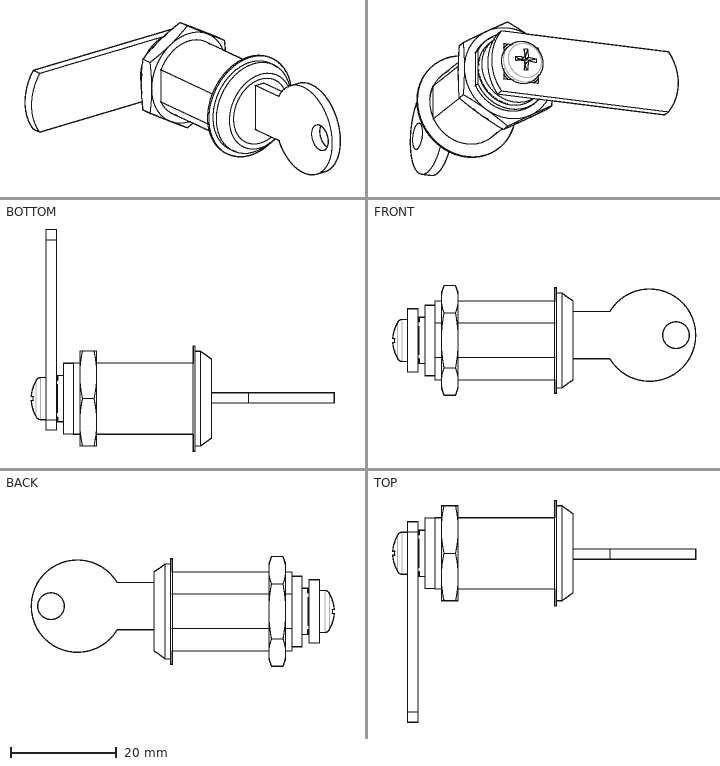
import cadquery as cq
import math


BODY_DIAMETER = 15.0
BODY_LENGTH = 23.0
BODY_ACROSS_FLATS = 13.5
BORE_DIAMETER = 13.0
FLANGE_DIAMETER = 18.0
FLANGE_FACE_DIAMETER = 15.0
FLANGE_RIM_LENGTH = 1.0
FLANGE_LENGTH = 3.1

WASHER_DIAMETER = 20.0
WASHER_THICKNESS = 0.4

NUT_ACROSS_FLATS = 18.0
NUT_ACROSS_CORNERS = NUT_ACROSS_FLATS / math.cos(math.pi / 6)
NUT_THICKNESS = 3.2
NUT_BACK_X = -21.8
NUT_CHAMFER_DEGREES = 20.0

SHOULDER_DIAMETER = 13.4
SHOULDER_LENGTH = 1.9
NECK_DIAMETER = 8.8
NECK_LENGTH = 1.1
TENON_SIDE = 7.0
CAM_CLEARANCE = 0.2

CAM_THICKNESS = 2.0
CAM_WIDTH = 12.0
CAM_NEAR_Y = 6.0
CAM_TIP_Y = -32.0
CAM_END_RADIUS = 10.0

HEAD_DIAMETER = 8.0
HEAD_RIM_LENGTH = 1.0
HEAD_HEIGHT = 2.82
DOME_EDGE_RADIUS = 3.37
DOME_HEIGHT = 0.93
SHANK_DIAMETER = 4.0
SHANK_LENGTH = 6.0
CROSS_LENGTH = 4.8
CROSS_FLOOR_LENGTH = 2.5
CROSS_WIDTH = 0.7
CROSS_DEPTH = 1.3
CROSS_CENTRE_DIAMETER = 1.1
CROSS_POINT_DEPTH = 0.5

KEY_THICKNESS = 2.0
KEY_CENTRE_Y = -0.15
KEY_CENTRE_Z = 1.0
BLADE_HEIGHT = 9.0
BLADE_INSERTION = FLANGE_LENGTH
KEY_HEAD_DIAMETER = 17.5
KEY_HOLE_DIAMETER = 5.0
KEY_HOLE_OFFSET = 5.0

DOME_TO_KEY_LENGTH = 57.34

BODY_BACK_X = -BODY_LENGTH
SHOULDER_BACK_X = BODY_BACK_X - SHOULDER_LENGTH
NECK_BACK_X = SHOULDER_BACK_X - NECK_LENGTH
CAM_FRONT_X = NECK_BACK_X - CAM_CLEARANCE
CAM_BACK_X = CAM_FRONT_X - CAM_THICKNESS
HEAD_TIP_X = CAM_BACK_X - HEAD_HEIGHT
KEY_END_X = HEAD_TIP_X + DOME_TO_KEY_LENGTH
KEY_HEAD_X = KEY_END_X - KEY_HEAD_DIAMETER / 2


def rod(diameter, start_x, end_x):
    """Cylinder on the lock axis between two X stations."""
    return cq.Workplane("YZ", origin=(start_x, 0, 0)).circle(diameter / 2).extrude(end_x - start_x)


def revolve_on_axis(profile):
    """Solid turned about X from a closed profile of (x, radius) points in the XY plane."""
    return profile.close().revolve(360, (0, 0, 0), (1, 0, 0))


def flatted_body():
    """Round body with two flats facing +Y and -Y."""
    flats = cq.Workplane("XY").box(
        BODY_LENGTH, BODY_ACROSS_FLATS, BODY_DIAMETER, centered=(False, True, True)
    ).translate((BODY_BACK_X, 0, 0))
    return rod(BODY_DIAMETER, BODY_BACK_X, 0).intersect(flats)


def make_housing():
    """Flatted body with a bevelled flange, bored through for the plug."""
    flange = revolve_on_axis(
        cq.Workplane("XY")
        .moveTo(0, 0)
        .lineTo(0, FLANGE_DIAMETER / 2)
        .lineTo(FLANGE_RIM_LENGTH, FLANGE_DIAMETER / 2)
        .lineTo(FLANGE_LENGTH, FLANGE_FACE_DIAMETER / 2)
        .lineTo(FLANGE_LENGTH, 0)
    )
    bore = rod(BORE_DIAMETER, BODY_BACK_X, FLANGE_LENGTH)
    return flatted_body().union(flange).cut(bore)


def make_washer():
    """Washer with a round hole that leaves a gap beside the flats of the body."""
    washer = rod(WASHER_DIAMETER, -WASHER_THICKNESS, 0)
    return washer.cut(rod(BODY_DIAMETER, -WASHER_THICKNESS, 0))


def make_nut():
    """Nut whose bore follows the housing body, flats included."""
    hexagon = (
        cq.Workplane("YZ", origin=(NUT_BACK_X, 0, 0))
        .transformed(rotate=(0, 0, 90))
        .polygon(6, NUT_ACROSS_CORNERS)
        .extrude(NUT_THICKNESS)
    )
    face_radius = NUT_ACROSS_FLATS / 2
    front_x = NUT_BACK_X + NUT_THICKNESS
    chamfer_rise = NUT_THICKNESS / 2 / math.tan(math.radians(NUT_CHAMFER_DEGREES))
    chamfer_envelope = revolve_on_axis(
        cq.Workplane("XY")
        .moveTo(NUT_BACK_X, 0)
        .lineTo(NUT_BACK_X, face_radius)
        .lineTo(NUT_BACK_X + NUT_THICKNESS / 2, face_radius + chamfer_rise)
        .lineTo(front_x, face_radius)
        .lineTo(front_x, 0)
    )
    return hexagon.intersect(chamfer_envelope).cut(flatted_body())


def tenon_block(start_x, end_x):
    """Square block on the lock axis between two X stations."""
    return cq.Workplane("YZ", origin=(start_x, 0, 0)).rect(TENON_SIDE, TENON_SIDE).extrude(end_x - start_x)


def make_plug(screw, key):
    """Plug in the housing bore, with a shoulder, a neck and a tenon whose corners follow the neck."""
    core = rod(BORE_DIAMETER, BODY_BACK_X, FLANGE_LENGTH)
    shoulder = rod(SHOULDER_DIAMETER, SHOULDER_BACK_X, BODY_BACK_X)
    neck = rod(NECK_DIAMETER, NECK_BACK_X, SHOULDER_BACK_X)
    tenon = tenon_block(CAM_BACK_X, NECK_BACK_X).intersect(rod(NECK_DIAMETER, CAM_BACK_X, NECK_BACK_X))
    return core.union(shoulder).union(neck).union(tenon).cut(screw).cut(key)


def make_cam():
    """Flat lever with arced ends and a square hole for the tenon."""
    half_width = CAM_WIDTH / 2
    end_bulge = CAM_END_RADIUS - math.sqrt(CAM_END_RADIUS**2 - half_width**2)
    near_corner_y = CAM_NEAR_Y - end_bulge
    tip_corner_y = CAM_TIP_Y + end_bulge
    plate = (
        cq.Workplane("YZ", origin=(CAM_BACK_X, 0, 0))
        .moveTo(near_corner_y, -half_width)
        .threePointArc((CAM_NEAR_Y, 0), (near_corner_y, half_width))
        .lineTo(tip_corner_y, half_width)
        .threePointArc((CAM_TIP_Y, 0), (tip_corner_y, -half_width))
        .close()
        .extrude(CAM_THICKNESS)
    )
    return plate.cut(tenon_block(CAM_BACK_X, CAM_FRONT_X))


def cross_recess():
    """Two crossing slots with sloping ends and floors and a conical centre, sunk from the dome tip."""
    floor_x = HEAD_TIP_X + CROSS_DEPTH
    point_x = floor_x + CROSS_POINT_DEPTH
    slot = (
        cq.Workplane("XZ")
        .moveTo(HEAD_TIP_X, -CROSS_LENGTH / 2)
        .lineTo(HEAD_TIP_X, CROSS_LENGTH / 2)
        .lineTo(floor_x, CROSS_FLOOR_LENGTH / 2)
        .lineTo(point_x, 0)
        .lineTo(floor_x, -CROSS_FLOOR_LENGTH / 2)
        .close()
        .extrude(CROSS_WIDTH / 2, both=True)
    )
    centre = revolve_on_axis(
        cq.Workplane("XY")
        .moveTo(HEAD_TIP_X, 0)
        .lineTo(HEAD_TIP_X, CROSS_CENTRE_DIAMETER / 2)
        .lineTo(floor_x, CROSS_CENTRE_DIAMETER / 2)
        .lineTo(point_x, 0)
    )
    crossing_slot = slot.rotate((0, 0, 0), (1, 0, 0), 90)
    return slot.union(crossing_slot).union(centre)


def make_screw():
    """Domed screw whose dome blends into the cylindrical rim through a rounded shoulder."""
    head_radius = HEAD_DIAMETER / 2
    rim_x = CAM_BACK_X - HEAD_RIM_LENGTH
    dome_edge_x = HEAD_TIP_X + DOME_HEIGHT
    dome_radius = (DOME_EDGE_RADIUS**2 + DOME_HEIGHT**2) / (2 * DOME_HEIGHT)
    half_dome_angle = math.asin(DOME_EDGE_RADIUS / dome_radius) / 2
    dome_middle = (
        HEAD_TIP_X + dome_radius * (1 - math.cos(half_dome_angle)),
        dome_radius * math.sin(half_dome_angle),
    )
    head = revolve_on_axis(
        cq.Workplane("XY")
        .moveTo(CAM_BACK_X, 0)
        .lineTo(CAM_BACK_X, head_radius)
        .lineTo(rim_x, head_radius)
        .tangentArcPoint((dome_edge_x, DOME_EDGE_RADIUS), relative=False)
        .threePointArc(dome_middle, (HEAD_TIP_X, 0))
    )
    shank = rod(SHANK_DIAMETER, CAM_BACK_X, CAM_BACK_X + SHANK_LENGTH)
    return head.cut(cross_recess()).union(shank)


def key_disc(diameter, x):
    """Disc of the key thickness standing in the XZ plane."""
    return (
        cq.Workplane("XZ", origin=(x, KEY_CENTRE_Y, KEY_CENTRE_Z))
        .circle(diameter / 2)
        .extrude(KEY_THICKNESS / 2, both=True)
    )


def make_key():
    """Flat key whose blade enters the plug as deep as the flange."""
    blade_tip_x = FLANGE_LENGTH - BLADE_INSERTION
    blade = cq.Workplane("XY").box(
        KEY_HEAD_X - blade_tip_x, KEY_THICKNESS, BLADE_HEIGHT, centered=(False, True, True)
    ).translate((blade_tip_x, KEY_CENTRE_Y, KEY_CENTRE_Z))
    head = key_disc(KEY_HEAD_DIAMETER, KEY_HEAD_X)
    return blade.union(head).cut(key_disc(KEY_HOLE_DIAMETER, KEY_HEAD_X + KEY_HOLE_OFFSET))


housing = make_housing()
washer = make_washer()
nut = make_nut()
screw = make_screw()
key = make_key()
plug = make_plug(screw, key)
cam = make_cam()

result = cq.Compound.makeCompound(
    [housing.val(), washer.val(), nut.val(), plug.val(), cam.val(), screw.val(), key.val()]
)